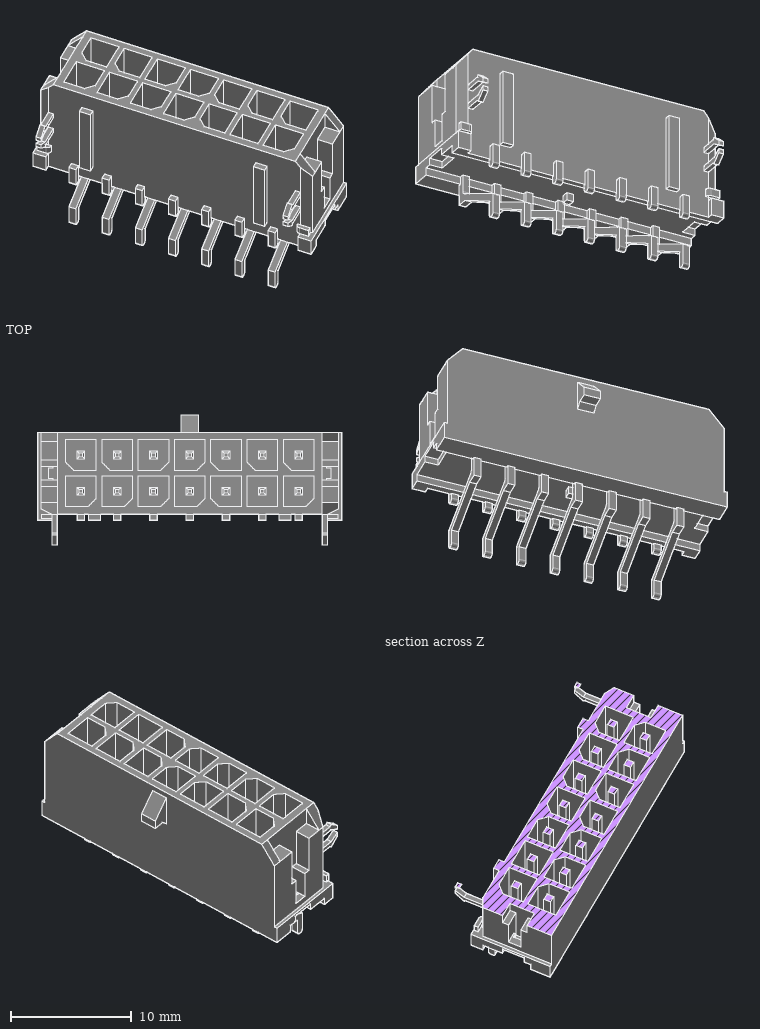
import cadquery as cq

overall_width = 25.15
body_height = 9.9
body_depth = 6.8
core_width = 21.88
front_face_width = 22.79
column_span = 24.6
column_top = 8.27
corner_setback = 0.45

flange_height = 1.58
standoff = 0.5

front_gusset_depth = 0.98
rear_gusset_depth = 0.75

slot_center_y = 3.4
wide_slot_width = 2.21
wide_slot_bottom = 4.75
narrow_slot_width = 1.13
narrow_slot_bottom = 2.26

floor_recess_depth = 0.75
floor_recess_bottom = narrow_slot_bottom - floor_recess_depth
floor_recess_stem_width = 0.85
floor_recess_stem_reach = 11.67
floor_recess_head_reach = 11.32

channel_front = 0.6
channel_rear = 5.0
channel_height = 0.68
pocket_width = 1.99
pocket_top = 1.28
peg_size = 0.63

columns = 7
contact_span = 18.0
contact_pitch = contact_span / (columns - 1)
front_row_y = 1.9
rear_row_y = front_row_y + contact_pitch
cavity_size = 2.55
cavity_chamfer = 0.68
cavity_floor = flange_height
rear_row_chamfers = ["left", "left", "right", "right", "left", "left", "left"]
front_row_chamfers = ["right", "right", "right", "right", "left", "none", "right"]

pin_size = 0.63
pin_tip_size = 0.3
pin_taper_height = 0.38
pin_top = 7.05
tail_tip_radius = 0.25
front_tail_top = 1.2
front_tail_bottom = -0.75
rear_tail_bottom = -5.48
rear_bend_bottom = -1.89
rear_bend_inner = -1.08
rear_bend_heel = 1.0
rear_slope_end_upper = -3.47
rear_slope_end_lower = -3.9
rear_bend_radius = 0.33

rib_width = 1.0
rib_center_x = 7.87

latch_width = 1.45
latch_reach = 1.43
latch_ramp_top = 9.33
latch_tip_top = 7.75
latch_tip_bottom = 6.95
latch_root_bottom = 6.5
latch_root_length = 0.48

clip_inner_x = 10.95
clip_thickness = 0.45
clip_center_z = 5.33
clip_reach = 2.55
prong_gap = 1.28
prong_width = 0.45
barb_y = -1.7
barb_height = 0.15
prong_tip_inner = 0.18
prong_tip_outer = 0.58
clip_root = 0.25

strip_outer_x = 12.27
strip_inner_x = 11.12
strip_bottom = 1.89
strip_top = 2.57
strip_reach = 0.35
strip_bend_radius = 0.33


def box(x_min, x_max, y_min, y_max, z_min, z_max):
    """Axis-aligned box between two opposite corners."""
    size = (x_max - x_min, y_max - y_min, z_max - z_min)
    return cq.Workplane("XY").box(*size, centered=False).translate((x_min, y_min, z_min))


def side_profile(points, width, center_x=0.0):
    """Outline of (y, z) points extruded along X about center_x."""
    solid = cq.Workplane("YZ").polyline(points).close().extrude(width / 2, both=True)
    return solid.translate((center_x, 0, 0))


def both_ends(solid):
    """The solid together with its mirror image at the other end."""
    return solid.union(solid.mirror("YZ"))


def make_body():
    """Core and end columns, before the cavities and the underside are cut."""
    half_core = core_width / 2
    half_front = front_face_width / 2
    half_span = column_span / 2
    plan = [
        (-half_front, 0),
        (half_front, 0),
        (half_span, corner_setback),
        (half_span, body_depth),
        (-half_span, body_depth),
        (-half_span, corner_setback),
    ]
    elevation = [
        (-half_span, 0),
        (half_span, 0),
        (half_span, column_top),
        (half_core, body_height),
        (-half_core, body_height),
        (-half_span, column_top),
    ]
    body = cq.Workplane("XY").polyline(plan).close().extrude(body_height)
    sloped = cq.Workplane("XZ").polyline(elevation).close().extrude(-body_depth)
    return body.intersect(sloped)


def make_flanges():
    """Raised bottom flange at each end."""
    half_front = front_face_width / 2
    return both_ends(box(half_front, overall_width / 2, -standoff, body_depth, 0, flange_height))


def make_end_cuts():
    """Space above the columns, stepped slot and floor recess, at both ends."""
    half_core = core_width / 2
    outer = overall_width / 2

    def slot(width, bottom, reach=outer, top=body_height):
        half = width / 2
        return box(half_core, reach, slot_center_y - half, slot_center_y + half, bottom, top)

    between_gussets = box(
        half_core, outer, front_gusset_depth, body_depth - rear_gusset_depth, column_top, body_height
    )
    recess_head = slot(
        narrow_slot_width, floor_recess_bottom, floor_recess_head_reach, narrow_slot_bottom
    )
    recess_stem = slot(
        floor_recess_stem_width, floor_recess_bottom, floor_recess_stem_reach, narrow_slot_bottom
    )
    cut = between_gussets.union(slot(wide_slot_width, wide_slot_bottom))
    cut = cut.union(slot(narrow_slot_width, narrow_slot_bottom))
    return both_ends(cut.union(recess_head).union(recess_stem))


def make_underside_cuts():
    """Channel through the full width and a pocket in each flange."""
    outer = overall_width / 2
    half_pocket = pocket_width / 2
    channel = box(-outer, outer, channel_front, channel_rear, 0, channel_height)
    pocket = box(
        front_face_width / 2,
        outer,
        slot_center_y - half_pocket,
        slot_center_y + half_pocket,
        0,
        pocket_top,
    )
    return channel.union(both_ends(pocket))


def make_cavity(x, y, chamfer_side):
    """Square cavity with one front corner chamfered, or none."""
    cavity = cq.Workplane("XY").rect(cavity_size, cavity_size).extrude(body_height - cavity_floor)
    if chamfer_side == "left":
        cavity = cavity.edges("|Z and <X and <Y").chamfer(cavity_chamfer)
    elif chamfer_side == "right":
        cavity = cavity.edges("|Z and >X and <Y").chamfer(cavity_chamfer)
    return cavity.translate((x, y, cavity_floor))


def make_pin(x, y):
    """Square pin that stands on the cavity floor and tapers at the tip."""
    shaft_top = pin_top - pin_taper_height
    shaft = cq.Workplane("XY").workplane(offset=channel_height).rect(pin_size, pin_size)
    shaft = shaft.extrude(shaft_top - channel_height)
    tip = (
        cq.Workplane("XY")
        .workplane(offset=shaft_top)
        .rect(pin_size, pin_size)
        .workplane(offset=pin_taper_height)
        .rect(pin_tip_size, pin_tip_size)
        .loft(ruled=True)
    )
    return shaft.union(tip).translate((x, y, 0))


def make_front_tail(x):
    """Short solder tail that runs down the front face."""
    half = pin_size / 2
    tail = box(x - half, x + half, -standoff, pin_size - standoff, front_tail_bottom, front_tail_top)
    return tail.edges("|X and <Z").fillet(tail_tip_radius)


def make_rear_tail(x):
    """Long solder tail that bends forward under the housing and down again."""
    front = rear_row_y - pin_size / 2
    rear = rear_row_y + pin_size / 2
    tail = side_profile(
        [
            (rear, channel_height),
            (rear, rear_bend_bottom),
            (rear - rear_bend_heel, rear_bend_bottom),
            (pin_size - standoff, rear_slope_end_lower),
            (pin_size - standoff, rear_tail_bottom),
            (-standoff, rear_tail_bottom),
            (-standoff, rear_slope_end_upper),
            (front, rear_bend_inner),
            (front, channel_height),
        ],
        pin_size,
        x,
    )
    tail = tail.edges("|X and <Z").fillet(tail_tip_radius)
    inner_bend = cq.selectors.NearestToPointSelector((x, front, rear_bend_inner))
    return tail.edges("|X").edges(inner_bend).fillet(rear_bend_radius)


def make_latch():
    """Ramp with an overhanging catch in the middle of the rear face."""
    return side_profile(
        [
            (body_depth, latch_ramp_top),
            (body_depth + latch_reach, latch_tip_top),
            (body_depth + latch_reach, latch_tip_bottom),
            (body_depth + latch_root_length, latch_tip_bottom),
            (body_depth, latch_root_bottom),
        ],
        latch_width,
    )


def make_clips():
    """Pair of barbed prongs at each end."""
    inner = prong_gap / 2
    outer = inner + prong_width
    upper_prong = side_profile(
        [
            (clip_root, clip_center_z + inner),
            (clip_root, clip_center_z + outer),
            (barb_y + barb_height, clip_center_z + outer),
            (barb_y, clip_center_z + outer + barb_height),
            (-clip_reach, clip_center_z + prong_tip_outer),
            (-clip_reach, clip_center_z + prong_tip_inner),
            (barb_y, clip_center_z + inner),
        ],
        clip_thickness,
        clip_inner_x + clip_thickness / 2,
    )
    lower_prong = upper_prong.mirror("XY", (0, 0, clip_center_z))
    return both_ends(upper_prong.union(lower_prong))


def make_strips():
    """Short strips above the flanges, each with a rounded inner end."""
    strip = box(strip_inner_x, strip_outer_x, -strip_reach, 0, strip_bottom, strip_top)
    return both_ends(strip.edges("|Z and <X and <Y").fillet(strip_bend_radius))


def make_ribs():
    """Two upright ribs on the front face."""
    half = rib_width / 2
    return both_ends(
        box(rib_center_x - half, rib_center_x + half, -standoff, 0, flange_height, column_top)
    )


def make_peg():
    """Square peg under the middle of the channel, level with the housing bottom."""
    half = peg_size / 2
    return box(-half, half, slot_center_y - half, slot_center_y + half, 0, channel_height)


contact_xs = [(i - (columns - 1) / 2) * contact_pitch for i in range(columns)]

housing = make_body().union(make_flanges())
housing = housing.cut(make_end_cuts()).cut(make_underside_cuts())
for x, rear_side, front_side in zip(contact_xs, rear_row_chamfers, front_row_chamfers):
    housing = housing.cut(make_cavity(x, rear_row_y, rear_side))
    housing = housing.cut(make_cavity(x, front_row_y, front_side))

result = housing.union(make_latch()).union(make_ribs()).union(make_peg())
result = result.union(make_clips()).union(make_strips())
for x in contact_xs:
    result = result.union(make_pin(x, front_row_y)).union(make_pin(x, rear_row_y))
    result = result.union(make_front_tail(x)).union(make_rear_tail(x))